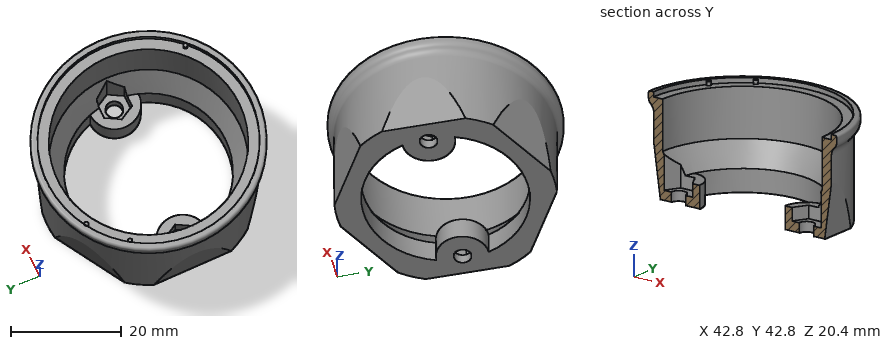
import cadquery as cq
import math

height = 20.35
rim_radius = 21.4
body_radius = 20.2

rim_round = 0.5
rim_curve_start_depth = 1.33
rim_bulge_radius = 1.55
rim_hollow_radius = 2.05

recess_radius = 40.2 / 2
recess_depth = 1.0
upper_bore_radius = 36.1 / 2
lower_bore_radius = 15.3
cone_top_z = 9.37
cone_half_angle = 30
cone_height = (upper_bore_radius - lower_bore_radius) / math.tan(math.radians(cone_half_angle))
cone_bottom_z = cone_top_z - cone_height

boss_offset = 14.5
boss_centers = [(-boss_offset, 0), (boss_offset, 0)]
boss_radius = 4.85
boss_wall_overlap = 0.43
screw_hole_diameter = 3.2
nut_across_flats = 5.55
nut_floor_z = 2.0

facet_floor_distance = 18.65
facet_cut_radius = body_radius + 0.43
facet_tilts = {0: 8, 60: 8, 120: 8, 180: 8, 240: 10, 300: 8}

pin_angles = (120, 145, -45)
pin_circle_radius = 19.75
pin_radius = 0.43
pin_height = 0.73


def outer_body():
    """Solid of revolution with the flared rim."""
    start_z = height - rim_curve_start_depth
    inset = rim_radius - body_radius
    turn = math.acos(1 - inset / (rim_bulge_radius + rim_hollow_radius))
    bulge_center_x = rim_radius - rim_bulge_radius
    join = (
        bulge_center_x + rim_bulge_radius * math.cos(turn),
        start_z - rim_bulge_radius * math.sin(turn),
    )
    end_z = join[1] - rim_hollow_radius * math.sin(turn)
    bulge_middle = (
        bulge_center_x + rim_bulge_radius * math.cos(turn / 2),
        start_z - rim_bulge_radius * math.sin(turn / 2),
    )
    hollow_middle = (
        body_radius + rim_hollow_radius * (1 - math.cos(turn / 2)),
        end_z + rim_hollow_radius * math.sin(turn / 2),
    )
    round_middle = (
        rim_radius - rim_round * (1 - math.cos(math.pi / 4)),
        height - rim_round * (1 - math.sin(math.pi / 4)),
    )
    return (
        cq.Workplane("XZ")
        .lineTo(body_radius, 0)
        .lineTo(body_radius, end_z)
        .threePointArc(hollow_middle, join)
        .threePointArc(bulge_middle, (rim_radius, start_z))
        .lineTo(rim_radius, height - rim_round)
        .threePointArc(round_middle, (rim_radius - rim_round, height))
        .lineTo(0, height)
        .close()
        .revolve(360, (0, 0), (0, 1))
    )


def interior():
    """Recess, upper bore, cone and lower bore as one revolved cutter."""
    ledge_z = height - recess_depth
    return (
        cq.Workplane("XZ")
        .lineTo(lower_bore_radius, 0)
        .lineTo(lower_bore_radius, cone_bottom_z)
        .lineTo(upper_bore_radius, cone_top_z)
        .lineTo(upper_bore_radius, ledge_z)
        .lineTo(recess_radius, ledge_z)
        .lineTo(recess_radius, height)
        .lineTo(0, height)
        .close()
        .revolve(360, (0, 0), (0, 1))
    )


def facet_cutter(angle, tilt):
    """Wedge outside a plane that leans outward going up from the base."""
    reach = facet_cut_radius - facet_floor_distance
    wedge_height = reach / math.tan(math.radians(tilt))
    return (
        cq.Workplane("XZ")
        .moveTo(facet_floor_distance, 0)
        .lineTo(facet_cut_radius, wedge_height)
        .lineTo(facet_cut_radius, 0)
        .close()
        .extrude(rim_radius, both=True)
        .rotate((0, 0, 0), (0, 0, 1), angle)
    )


def bosses():
    """Two cylinders trimmed to merge just into the lower bore wall."""
    bore_fill = cq.Workplane("XY").circle(lower_bore_radius + boss_wall_overlap).extrude(cone_bottom_z)
    posts = (
        cq.Workplane("XY")
        .pushPoints(boss_centers)
        .circle(boss_radius)
        .extrude(cone_bottom_z)
    )
    return posts.intersect(bore_fill)


def nut_pockets_and_holes():
    """Hexagonal pockets open upward, with screw holes through their floors."""
    across_corners = nut_across_flats / math.cos(math.radians(30))
    pockets = (
        cq.Workplane("XY", origin=(0, 0, nut_floor_z))
        .pushPoints(boss_centers)
        .polygon(6, across_corners)
        .extrude(height - nut_floor_z)
    )
    holes = cq.Workplane("XY").pushPoints(boss_centers).circle(screw_hole_diameter / 2).extrude(height)
    return pockets.union(holes)


def pin(angle):
    """One locating pin on the ledge, merging into the recess wall."""
    x = pin_circle_radius * math.cos(math.radians(angle))
    y = pin_circle_radius * math.sin(math.radians(angle))
    return (
        cq.Workplane("XY", origin=(x, y, height - recess_depth))
        .circle(pin_radius)
        .extrude(pin_height)
    )


result = outer_body().cut(interior())
for facet_angle, facet_tilt in facet_tilts.items():
    result = result.cut(facet_cutter(facet_angle, facet_tilt))
result = result.union(bosses()).cut(nut_pockets_and_holes())
for pin_angle in pin_angles:
    result = result.union(pin(pin_angle))